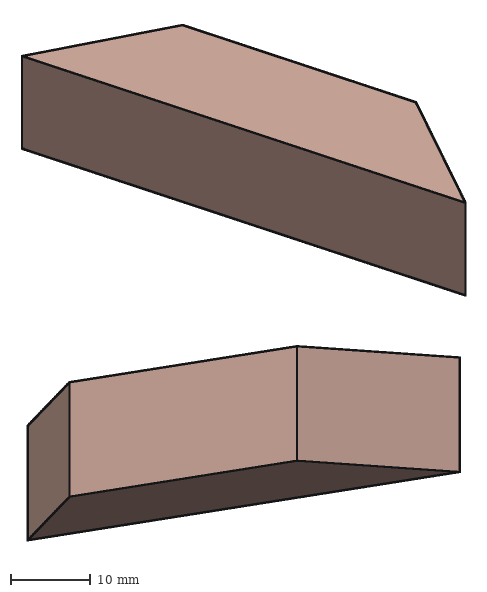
import cadquery as cq

length = 63.4
side = 15.0
miter_run = side

half_length = length / 2
half_short_length = half_length - miter_run
half_side = side / 2

outline = [
    (-half_length, -half_side),
    (half_length, -half_side),
    (half_short_length, half_side),
    (-half_short_length, half_side),
]

result = (
    cq.Workplane("XY")
    .workplane(offset=-half_side)
    .polyline(outline)
    .close()
    .extrude(side)
)